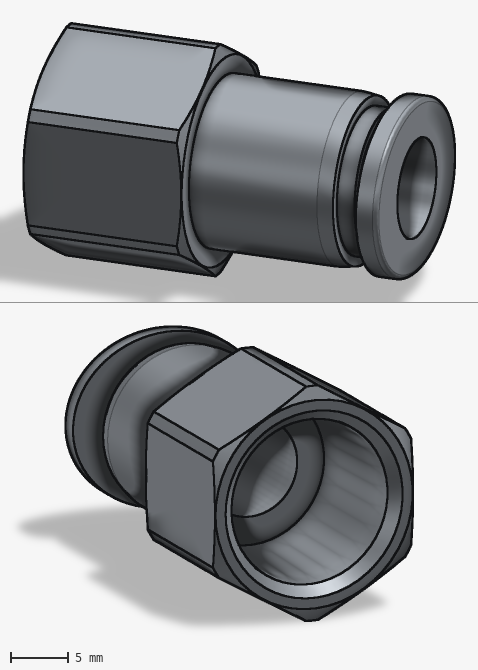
import cadquery as cq
import math


hex_end = 15.0
body_straight_end = 27.12
body_end = 28.55
collar_end = 30.23
neck_end = 31.4
total_length = 33.4

across_flats = 19.0
corner_radius = 10.65
end_face_radius = 9.45
end_cone_angle = 20.0

body_radius = 7.78
body_end_radius = 7.58
collar_radius = 6.68
neck_radius = 5.95

button_width = 18.4
button_height = 15.95
button_fillet = 0.45

mouth_radius = 8.5
bore_start_radius = 7.48
mouth_depth = 1.0
bore_taper_ratio = 16.0
bore_end_radius = 7.08
through_radius = 4.5


def revolve_profile(points):
    """Revolve a closed profile of (x, radius) points about the X axis."""
    profile = cq.Workplane("XY").polyline(points).close()
    return profile.revolve(360, (0, 0, 0), (1, 0, 0))


def make_hexagon():
    across_corners = across_flats / math.cos(math.radians(30))
    prism = cq.Workplane("YZ").polygon(6, across_corners).extrude(hex_end)
    prism = prism.rotate((0, 0, 0), (1, 0, 0), 30)
    cone_length = (corner_radius - end_face_radius) * math.tan(math.radians(end_cone_angle))
    envelope = revolve_profile([
        (0, 0),
        (0, end_face_radius),
        (cone_length, corner_radius),
        (hex_end - cone_length, corner_radius),
        (hex_end, end_face_radius),
        (hex_end, 0),
    ])
    return prism.intersect(envelope)


def make_turned_body():
    return revolve_profile([
        (hex_end, 0),
        (hex_end, body_radius),
        (body_straight_end, body_radius),
        (body_end, body_end_radius),
        (body_end, collar_radius),
        (collar_end, collar_radius),
        (collar_end, neck_radius),
        (neck_end, neck_radius),
        (neck_end, 0),
    ])


def make_button():
    outline = cq.Workplane("YZ", origin=(neck_end, 0, 0)).ellipse(button_width / 2, button_height / 2)
    button = outline.extrude(total_length - neck_end)
    return button.faces(">X").edges().fillet(button_fillet)


def make_bores():
    taper_length = 2 * (bore_start_radius - bore_end_radius) * bore_taper_ratio
    bore_end = mouth_depth + taper_length
    return revolve_profile([
        (0, 0),
        (0, mouth_radius),
        (mouth_depth, bore_start_radius),
        (bore_end, bore_end_radius),
        (bore_end, through_radius),
        (total_length, through_radius),
        (total_length, 0),
    ])


fitting = make_hexagon().union(make_turned_body()).union(make_button())
result = fitting.cut(make_bores())